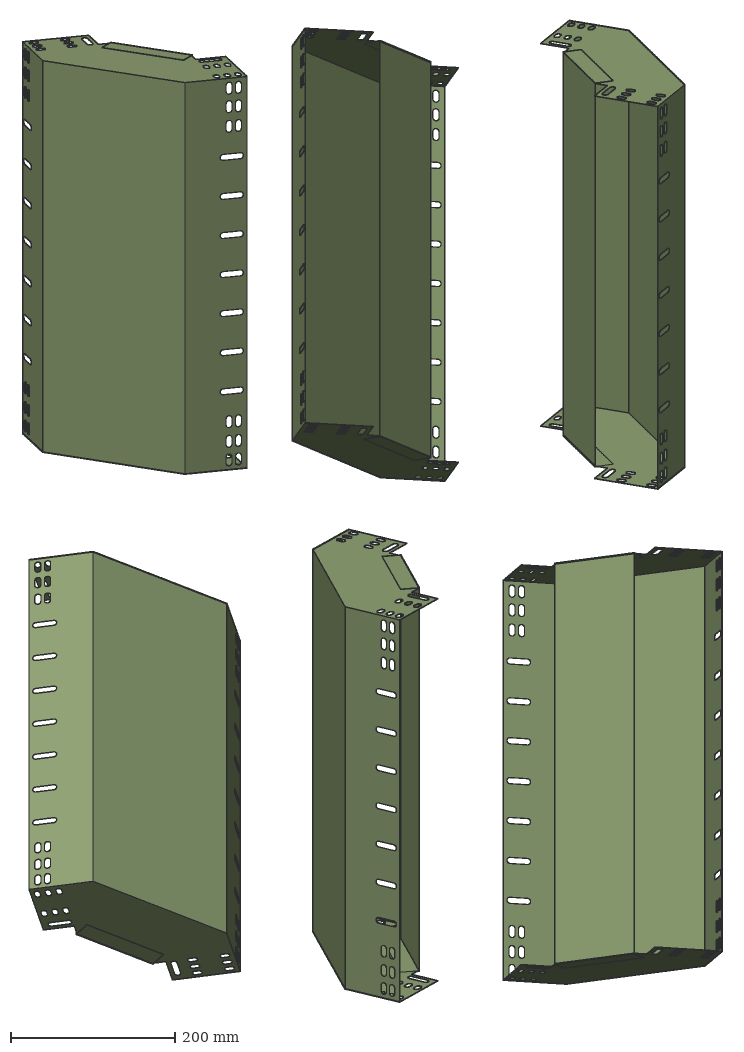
import cadquery as cq
import math

LENGTH = 503.0
SHEET = 0.75
TRAY_LENGTH = LENGTH - 2 * SHEET

HALF_WIDTH = 154.0
FOLD_ANGLE = 45
SIDE_WALL = 80.0
TIP_Y = SIDE_WALL / math.sqrt(2)
FRONT_HALF = HALF_WIDTH - TIP_Y
DEPTH = 116.5
HORN_X = HALF_WIDTH - (DEPTH - TIP_Y)
NOTCH_DROP = 27.0

COVER_WIDTH = 111.5
COVER_BACK_Y = 101.5
COVER_FLANGE = 23.5

WALL_SLOT_WIDTH = 7.5
WALL_SLOT_LENGTH = 15.0
WALL_SLOT_INSETS = (11.0, 23.0)
WALL_SLOT_END_GAPS = (13.0, 36.5, 62.0)
LONG_SLOT_WIDTH = 7.5
LONG_SLOT_LENGTH = 29.5
LONG_SLOT_INSET = 19.5
LONG_SLOT_SPAN = 300.0
LONG_SLOT_COUNT = 7
LONG_SLOT_PITCH = LONG_SLOT_SPAN / (LONG_SLOT_COUNT - 1)

PLATE_SLOT_WIDTH = 7.0
PLATE_SLOT_LENGTH = 12.0
PLATE_SLOT_ALONGS = (12.0, 52.5)
PLATE_SLOT_FIRST_INSET = 8.0
PLATE_SLOT_PITCH = 13.5
PLATE_SLOT_ROWS = 3
HORN_SLOT_WIDTH = 7.5
HORN_SLOT_LENGTH = 29.0
HORN_SLOT_ALONG = 76.0
HORN_SLOT_INSET = 22.5


def end_plate_outline():
    """Outline of the end plates, from the front wall to the cover."""
    cover_inner_y = COVER_BACK_Y - SHEET
    notch_x = HORN_X - NOTCH_DROP
    notch_y = DEPTH - NOTCH_DROP
    shoulder_x = notch_x - (cover_inner_y - notch_y)
    right_side = [
        (FRONT_HALF, 0),
        (HALF_WIDTH, TIP_Y),
        (HORN_X, DEPTH),
        (notch_x, notch_y),
        (shoulder_x, cover_inner_y),
    ]
    left_side = [(-x, y) for x, y in reversed(right_side)]
    return right_side + left_side


def wall_outline():
    """Cross-section of the front wall and both side walls, one sheet thick."""
    diagonal = SHEET / math.sqrt(2)
    inner_fold_x = FRONT_HALF - SHEET * math.tan(math.radians(FOLD_ANGLE / 2))
    right_side = [
        (FRONT_HALF, 0),
        (HALF_WIDTH, TIP_Y),
        (HALF_WIDTH - diagonal, TIP_Y + diagonal),
        (inner_fold_x, SHEET),
    ]
    left_side = [(-x, y) for x, y in reversed(right_side)]
    return right_side + left_side


def prism(outline, bottom, height):
    """Extrude a closed XY outline upwards from Z = bottom."""
    return cq.Workplane("XY").workplane(offset=bottom).polyline(outline).close().extrude(height)


def slots(plane, points, length, width, angle, depth):
    """Slot-shaped cutters that reach depth to both sides of the plane."""
    return cq.Workplane(plane).pushPoints(points).slot2D(length, width, angle).extrude(depth, both=True)


def side_wall_slots():
    """Cutters for the slots of the left side wall."""
    wall = cq.Plane(origin=(-HALF_WIDTH, TIP_Y, 0), xDir=(1, -1, 0), normal=(-1, -1, 0))
    short_points = [
        (inset, end * (TRAY_LENGTH / 2 - gap))
        for inset in WALL_SLOT_INSETS
        for gap in WALL_SLOT_END_GAPS
        for end in (1, -1)
    ]
    long_points = [
        (LONG_SLOT_INSET, (i - (LONG_SLOT_COUNT - 1) / 2) * LONG_SLOT_PITCH)
        for i in range(LONG_SLOT_COUNT)
    ]
    depth = 2 * SHEET
    short_slots = slots(wall, short_points, WALL_SLOT_LENGTH, WALL_SLOT_WIDTH, 90, depth)
    long_slots = slots(wall, long_points, LONG_SLOT_LENGTH, LONG_SLOT_WIDTH, 0, depth)
    return short_slots.union(long_slots)


def end_plate_slots():
    """Cutters for the left slots of both end plates; they run the full length."""
    plate = cq.Plane(origin=(-HALF_WIDTH, TIP_Y, 0), xDir=(1, 1, 0), normal=(0, 0, 1))
    small_points = [
        (along, -(PLATE_SLOT_FIRST_INSET + row * PLATE_SLOT_PITCH))
        for along in PLATE_SLOT_ALONGS
        for row in range(PLATE_SLOT_ROWS)
    ]
    horn_points = [(HORN_SLOT_ALONG, -HORN_SLOT_INSET)]
    small_slots = slots(plate, small_points, PLATE_SLOT_LENGTH, PLATE_SLOT_WIDTH, 0, LENGTH)
    horn_slot = slots(plate, horn_points, HORN_SLOT_LENGTH, HORN_SLOT_WIDTH, 90, LENGTH)
    return small_slots.union(horn_slot)


def make_tray():
    """Folded tray: front wall, two side walls and two end plates, with slots."""
    bottom = -TRAY_LENGTH / 2
    tray = prism(wall_outline(), bottom, TRAY_LENGTH)
    for plate_bottom in (bottom, -bottom - SHEET):
        tray = tray.union(prism(end_plate_outline(), plate_bottom, SHEET))
    for left_slots in (side_wall_slots(), end_plate_slots()):
        tray = tray.cut(left_slots).cut(left_slots.mirror("YZ"))
    return tray


def make_cover():
    """Channel-shaped cover closing the middle of the back, flanges outside the end plates."""
    centre_y = COVER_BACK_Y - COVER_FLANGE / 2
    channel = cq.Workplane("XY").box(COVER_WIDTH, COVER_FLANGE, LENGTH).translate((0, centre_y, 0))
    inside = cq.Workplane("XY").box(COVER_WIDTH, COVER_FLANGE, TRAY_LENGTH)
    return channel.cut(inside.translate((0, centre_y - SHEET, 0)))


tray = make_tray()
cover = make_cover()
result = cq.Compound.makeCompound([tray.solids().val(), cover.solids().val()])